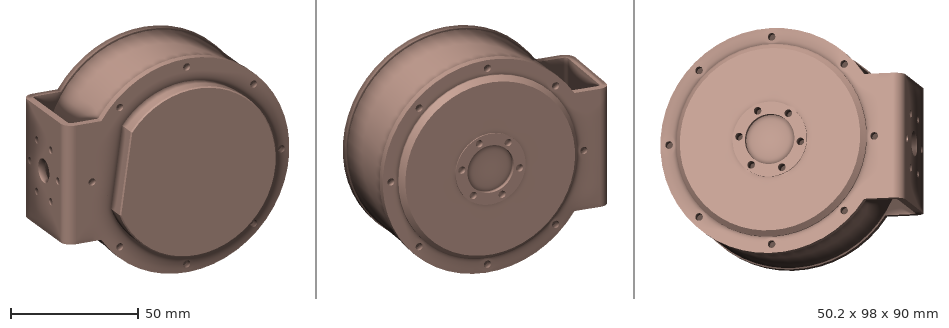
import cadquery as cq


OVERALL_LENGTH = 98.0
CHEEK_RADIUS = 45.0
BRACKET_WIDTH = 39.0
SHEET = 3.0
TAB_HEIGHT = 50.0
BEND_INNER_RADIUS = 1.5
BEND_OUTER_RADIUS = BEND_INNER_RADIUS + SHEET
SCREW_HOLE = 3.0
CHEEK_SCREWS = 8
CHEEK_SCREW_CIRCLE = 82.9
WEB_SCREWS = 6
WEB_SCREW_CIRCLE = 25.0
WEB_CENTRE_HOLE = 10.0

DRUM_RADIUS = 44.5
EDGE_CHAMFER = 0.5
FLANGE_RADIUS = 38.5
FLANGE_PROJECTION = 2.7
FLANGE_CHAMFER = 2.1
HUB_RADIUS = 15.0
HUB_HEIGHT = 0.5
HUB_RECESS_RADIUS = 10.0
HUB_RECESS_DEPTH = 2.0
HUB_SCREWS = 6
HUB_SCREW_CIRCLE = 25.0
HUB_SCREW_DEPTH = 5.0
CAP_RADIUS = 35.5
CAP_PROJECTION = 8.0
CAP_FLAT_DISTANCE = 31.0
CAP_FLAT_ANGLE = 45.0
MOTOR_CLOCKING = 126.9

CHEEK_OUTER_X = BRACKET_WIDTH / 2
CHEEK_INNER_X = CHEEK_OUTER_X - SHEET
WEB_OUTER_Y = CHEEK_RADIUS - OVERALL_LENGTH
FLANGE_FACE_X = -CHEEK_OUTER_X - FLANGE_PROJECTION
HUB_FACE_X = FLANGE_FACE_X - HUB_HEIGHT


def cylinder_x(radius, start_x, end_x):
    """Cylinder on the X axis between two X positions."""
    return cq.Workplane("YZ", origin=(start_x, 0, 0)).circle(radius).extrude(end_x - start_x)


def screw_ring_x(circle_diameter, count, start_x, end_x):
    """Ring of screw hole cutters parallel to the X axis."""
    return (
        cq.Workplane("YZ", origin=(start_x, 0, 0))
        .polarArray(circle_diameter / 2, 0, 360, count)
        .circle(SCREW_HOLE / 2)
        .extrude(end_x - start_x)
    )


def channel(width, front_y, bend_radius):
    """Block from the motor axis to front_y, with its two front vertical edges rounded."""
    return (
        cq.Workplane("XY")
        .box(width, -front_y, TAB_HEIGHT)
        .translate((0, front_y / 2, 0))
        .edges("|Z and <Y")
        .fillet(bend_radius)
    )


def make_bracket():
    """U-shaped bracket with its motor openings and screw holes."""
    outer = channel(BRACKET_WIDTH, WEB_OUTER_Y, BEND_OUTER_RADIUS)
    outer = outer.union(cylinder_x(CHEEK_RADIUS, -CHEEK_OUTER_X, CHEEK_OUTER_X))
    inner = channel(2 * CHEEK_INNER_X, WEB_OUTER_Y + SHEET, BEND_INNER_RADIUS)
    inner = inner.union(cylinder_x(CHEEK_RADIUS, -CHEEK_INNER_X, CHEEK_INNER_X))
    bracket = outer.cut(inner)

    bracket = bracket.cut(cylinder_x(FLANGE_RADIUS, -CHEEK_OUTER_X, -CHEEK_INNER_X))
    bracket = bracket.cut(cylinder_x(CAP_RADIUS, CHEEK_INNER_X, CHEEK_OUTER_X))
    bracket = bracket.cut(
        screw_ring_x(CHEEK_SCREW_CIRCLE, CHEEK_SCREWS, -CHEEK_OUTER_X, CHEEK_OUTER_X)
    )

    web_plane = cq.Workplane("XZ", origin=(0, WEB_OUTER_Y, 0))
    centre_hole = web_plane.circle(WEB_CENTRE_HOLE / 2).extrude(-SHEET)
    web_screws = (
        web_plane.polarArray(WEB_SCREW_CIRCLE / 2, 0, 360, WEB_SCREWS)
        .circle(SCREW_HOLE / 2)
        .extrude(-SHEET)
    )
    return bracket.cut(centre_hole).cut(web_screws)


def make_rear_cap():
    """Rear cap of the motor: round inside the cheek, with one flat on the part outside it."""
    cap_end_x = CHEEK_OUTER_X + CAP_PROJECTION
    flat_cutter = (
        cq.Workplane("XY")
        .box(CAP_PROJECTION, CAP_RADIUS, 2 * CAP_RADIUS)
        .translate((CHEEK_OUTER_X + CAP_PROJECTION / 2, CAP_FLAT_DISTANCE + CAP_RADIUS / 2, 0))
        .rotate((0, 0, 0), (1, 0, 0), CAP_FLAT_ANGLE)
    )
    outside = (
        cylinder_x(CAP_RADIUS, CHEEK_OUTER_X, cap_end_x)
        .cut(flat_cutter)
        .faces(">X")
        .chamfer(EDGE_CHAMFER)
    )
    return cylinder_x(CAP_RADIUS, CHEEK_INNER_X, CHEEK_OUTER_X).union(outside)


def make_motor():
    """Motor drum with its flange, hub and rear cap, turned to its clocking angle."""
    drum = cylinder_x(DRUM_RADIUS, -CHEEK_INNER_X, CHEEK_INNER_X).edges().chamfer(EDGE_CHAMFER)
    flange = (
        cylinder_x(FLANGE_RADIUS, FLANGE_FACE_X, -CHEEK_INNER_X)
        .faces("<X")
        .chamfer(FLANGE_CHAMFER)
    )
    hub = cylinder_x(HUB_RADIUS, HUB_FACE_X, FLANGE_FACE_X)
    motor = drum.union(flange).union(hub).union(make_rear_cap())

    motor = motor.cut(cylinder_x(HUB_RECESS_RADIUS, HUB_FACE_X, HUB_FACE_X + HUB_RECESS_DEPTH))
    motor = motor.cut(
        screw_ring_x(HUB_SCREW_CIRCLE, HUB_SCREWS, HUB_FACE_X, HUB_FACE_X + HUB_SCREW_DEPTH)
    )
    return motor.rotate((0, 0, 0), (1, 0, 0), MOTOR_CLOCKING)


bracket = make_bracket()
motor = make_motor()
result = cq.Compound.makeCompound([bracket.val(), motor.val()])